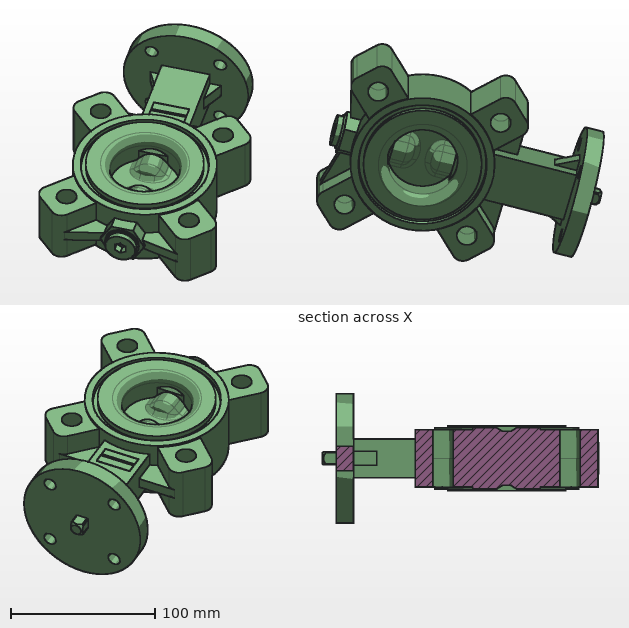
import cadquery as cq
import math


body_radius = 50.0
body_height = 42.7
seat_radius = 41.0
seat_height = 45.0
groove_radius = 44.7
groove_floor_radius = 44.0
groove_depth = 2.9
bore_radius = 24.3
lip_radius = 6.5

wall_root = 46.0
web_root = 26.8
wall_overlap = 2.0

lug_height = 40.0
lug_reach = 78.6
lug_width = 31.5
lug_corner_radius = 7.7
lug_hole_offset = 44.0
lug_hole_diameter = 14.0
lug_extent = (lug_reach + lug_width / 2) / math.sqrt(2) - (math.sqrt(2) - 1) * lug_corner_radius

web_thickness = 7.5
web_half_span = (lug_reach - lug_width / 2) / math.sqrt(2)
lower_web_middle_y = -52.1

neck_width = 34.7
neck_depth = 27.0
flange_radius = 90.0 / 2
flange_bottom_y = 106.2
flange_thickness = 12.0
flange_hole_offset = 24.7
flange_hole_diameter = 9.0
gusset_thickness = 9.5
gusset_half_span = 25.5
gusset_length = 16.0

panel_width = 25.5
panel_depth = 0.4
panel_spans_y = ((55.0, 61.2), (62.5, 69.2))

stem_top_y = 127.9
stem_width = 9.2
stem_round_radius = 6.0
stem_chamfer = 2.1

plug_across_flats = 27.5
plug_hex_end_y = -58.3
plug_washer_radius = 12.0
plug_washer_end_y = -59.8
plug_cap_radius = 10.7
plug_end_y = stem_top_y - 191.7
socket_across_flats = 7.9
socket_depth = 5.8

disc_thickness = 4.6
hub_round_radius = 10.4
hub_half_width = hub_round_radius * math.sqrt(2)
hub_foot_radius = 4.2
hub_end_y = 6.3
hub_end_rounding = 6.0
land_y = 22.0
land_half_height = 11.1


def along_y(start_y):
    """Workplane facing +Y at the given height along the stem axis."""
    return cq.Workplane("XZ", origin=(0, start_y, 0)).transformed(rotate=(180, 0, 0))


def disc_z(radius, height):
    """Round plate centred on the XY plane."""
    return cq.Workplane("XY").circle(radius).extrude(height / 2, both=True)


def plate(points, thickness):
    """Flat plate centred on the XY plane."""
    return cq.Workplane("XY").polyline(points).close().extrude(thickness / 2, both=True)


def hexagon_y(across_flats, start_y, length, turn):
    across_corners = across_flats / math.cos(math.pi / 6)
    return along_y(start_y).transformed(rotate=(0, 0, turn)).polygon(6, across_corners).extrude(length)


def make_lug(angle):
    """Lug running out from the ring wall along the given direction in degrees."""
    lug = (
        cq.Workplane("XY")
        .center((wall_root + lug_reach) / 2, 0)
        .rect(lug_reach - wall_root, lug_width)
        .extrude(lug_height / 2, both=True)
        .edges("|Z and >X")
        .fillet(lug_corner_radius)
    )
    return lug.rotate((0, 0, 0), (0, 0, 1), angle)


def make_lug_holes():
    return (
        cq.Workplane("XY")
        .rect(2 * lug_hole_offset, 2 * lug_hole_offset, forConstruction=True)
        .vertices()
        .circle(lug_hole_diameter / 2)
        .extrude(lug_height / 2, both=True)
    )


def make_webs():
    upper = plate(
        [(-web_half_span, web_root), (web_half_span, web_root), (web_half_span, lug_extent),
         (-web_half_span, lug_extent)],
        web_thickness,
    )
    lower = plate(
        [(-web_half_span, -web_root), (web_half_span, -web_root), (web_half_span, -lug_extent),
         (0, lower_web_middle_y), (-web_half_span, -lug_extent)],
        web_thickness,
    )
    return upper.union(lower)


def make_neck():
    neck = along_y(wall_root).rect(neck_width, neck_depth).extrude(flange_bottom_y - wall_root)
    for low_y, high_y in panel_spans_y:
        panel = cq.Workplane("XY").box(panel_width, high_y - low_y, 2 * panel_depth)
        neck = neck.cut(panel.translate((0, (low_y + high_y) / 2, neck_depth / 2)))
    gussets = plate(
        [(-gusset_half_span, flange_bottom_y), (gusset_half_span, flange_bottom_y),
         (neck_width / 2, flange_bottom_y - gusset_length), (-neck_width / 2, flange_bottom_y - gusset_length)],
        gusset_thickness,
    )
    return neck.union(gussets)


def make_flange():
    holes = [(x, z) for x in (-flange_hole_offset, flange_hole_offset)
             for z in (-flange_hole_offset, flange_hole_offset)]
    return (
        along_y(flange_bottom_y)
        .circle(flange_radius)
        .pushPoints(holes)
        .circle(flange_hole_diameter / 2)
        .extrude(flange_thickness)
    )


def make_stem():
    length = stem_top_y - flange_bottom_y
    square = along_y(flange_bottom_y).rect(stem_width, stem_width).extrude(length)
    rounding = along_y(flange_bottom_y).circle(stem_round_radius).extrude(length)
    return square.intersect(rounding.faces(">Y").chamfer(stem_chamfer))


def make_plug():
    hexagon = hexagon_y(plug_across_flats, plug_hex_end_y, -wall_root - plug_hex_end_y, 0)
    washer = along_y(plug_washer_end_y).circle(plug_washer_radius).extrude(-wall_root - plug_washer_end_y)
    cap = along_y(plug_end_y).circle(plug_cap_radius).extrude(-wall_root - plug_end_y)
    socket = hexagon_y(socket_across_flats, plug_end_y, socket_depth, 30)
    return hexagon.union(washer).union(cap).cut(socket)


def make_ring():
    """Body ring with a seat face standing out of a groove on each side, and a bore with rounded lips."""
    ring = disc_z(body_radius, body_height)
    floor_z = body_height / 2 - groove_depth
    groove = (
        cq.Workplane("XY", origin=(0, 0, floor_z))
        .circle(groove_floor_radius)
        .workplane(offset=groove_depth)
        .circle(groove_radius)
        .loft()
    )
    ring = ring.cut(groove).cut(groove.mirror("XY"))
    ring = ring.union(disc_z(seat_radius, seat_height)).cut(disc_z(bore_radius, seat_height))
    lips = cq.selectors.RadiusNthSelector(0)
    return ring.faces(">Z or <Z").edges(lips).fillet(lip_radius)


def make_hub():
    """Half hub: round crests that run tangent into 45 degree sides, closed by a rounded end."""
    tangent = hub_half_width / 2
    return (
        along_y(hub_end_y)
        .moveTo(tangent, tangent)
        .threePointArc((0, hub_round_radius), (-tangent, tangent))
        .lineTo(-hub_half_width, 0)
        .lineTo(-tangent, -tangent)
        .threePointArc((0, -hub_round_radius), (tangent, -tangent))
        .lineTo(hub_half_width, 0)
        .close()
        .extrude(land_y + wall_overlap - hub_end_y)
        .faces("<Y")
        .edges()
        .fillet(hub_end_rounding)
    )


def make_land():
    """Flat wall closing a bore segment, with 45 degree shoulders above and below."""
    back_y = bore_radius + wall_overlap
    back_z = land_half_height + back_y - land_y
    return (
        cq.Workplane("YZ")
        .polyline([(land_y, -land_half_height), (land_y, land_half_height), (back_y, back_z), (back_y, -back_z)])
        .close()
        .extrude(bore_radius / 2, both=True)
    )


def make_disc():
    """Closed disc across the bore, with two hubs running out to their lands."""
    disc = disc_z(bore_radius + wall_overlap, disc_thickness)
    hub = make_hub()
    for half in (hub, hub.mirror("XZ")):
        disc = disc.union(half)
    for side in (1, -1):
        outer_corner = (hub_half_width, land_y, side * disc_thickness)
        foot = cq.selectors.BoxSelector((-hub_half_width, -land_y, 0), outer_corner)
        disc = disc.edges(foot).fillet(hub_foot_radius)
    land = make_land()
    for half in (land, land.mirror("XZ")):
        disc = disc.union(half)
    return disc


body = make_ring()
for lug_angle in (45, 135, 225, 315):
    body = body.union(make_lug(lug_angle))
for part in (make_webs(), make_neck(), make_flange(), make_stem(), make_plug(), make_disc()):
    body = body.union(part)
result = body.cut(make_lug_holes())